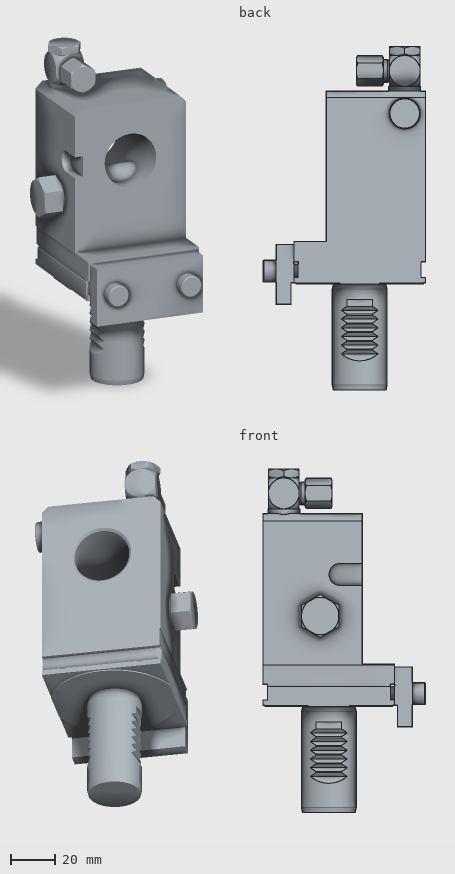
import cadquery as cq
import math


base_half_x = 30.0
back_y = 27.6
front_y = -27.5
depth_y = back_y - front_y
base_height = 18.9
block_right_x = 15.3
block_top_z = 87.0
front_chamfer = 3.3
back_chamfer = 3.0
front_relief = 0.55
front_relief_bottom_z = 8.6
front_relief_top_z = 18.4

groove_depth = 2.0
groove_bottom_z = 2.5
groove_top_z = 9.5

seat_radius = 29.0
seat_height = 0.5

shank_diameter = 25.0
shank_neck_diameter = 24.0
shank_neck_length = 0.6
shank_bottom_z = -48.7
shank_taper_length = 2.3
shank_shoulder_length = 1.7

tooth_crest_y = 11.0
tooth_root_y = 9.4
tooth_count = 6
tooth_root_span = 19.8
tooth_pitch = tooth_root_span / (tooth_count - 1)
tooth_flat_top_z = -7.5
first_root_z = -12.5

bar_right_x = 37.9
bar_half_width = 26.2
bar_top_z = 17.5
bar_bottom_z = -9.8
bar_step = 1.2
screw_spacing = 35.9
screw_z = 5.3
screw_head_diameter = 10.0
screw_head_length = 6.1
screw_shaft_diameter = 6.5
screw_head_chamfer = 0.5

bore_z = 59.5
bore_diameter = 25.5
bore_chamfer = 1.1
slot_width = 10.0
slot_depth = 4.0
slot_center_x = 5.1
pin_diameter = 21.8
pin_x = -3.9
pin_z = 40.5

bolt_neck_diameter = 15.0
bolt_neck_length = 0.5
bolt_washer_diameter = 16.5
bolt_washer_length = 0.8
bolt_across_flats = 17.0
bolt_head_length = 9.0
bolt_edge_chamfer = 0.8

fitting_x = -20.5
plug_diameter = 14.0
plug_z = 76.9
plug_length = 3.7
plug_chamfer = 0.3

elbow_y = -17.3
elbow_size = 14.0
elbow_sphere_ratio = math.sqrt(2)
elbow_collar_diameter = 14.5
elbow_collar_height = 2.2
elbow_nut_height = 4.0
elbow_nut_chamfer = 0.8
outlet_neck_diameter = 10.0
outlet_neck_groove_length = 0.8
outlet_collar_diameter = 10.5
outlet_neck_length = 2.7
outlet_nut_across_flats = 12.0
outlet_nut_length = 12.3
outlet_nut_chamfer = 0.6

overlap = 1.5


def box(x_range, y_range, z_range):
    """Box between the given limits."""
    corner = (x_range[0], y_range[0], z_range[0])
    size = [limits[1] - limits[0] for limits in (x_range, y_range, z_range)]
    return cq.Workplane("XY").box(*size, centered=False).translate(corner)


def rod(start, direction, diameter, length):
    """Round rod from a start point along a direction."""
    cylinder = cq.Solid.makeCylinder(diameter / 2, length, cq.Vector(*start), cq.Vector(*direction))
    return cq.Workplane(cylinder)


def chamfered_rod(start, direction, diameter, length, chamfer):
    """Round rod with its far rim chamfered."""
    far_face = cq.selectors.DirectionMinMaxSelector(cq.Vector(*direction))
    return rod(start, direction, diameter, length).faces(far_face).chamfer(chamfer)


def hexagon(start, direction, corner_direction, across_flats, length, chamfers):
    """Hexagonal prism whose corners are trimmed by a cone at each end down to the inscribed circle.

    One corner points along corner_direction; chamfers gives the cone heights at the start and far end.
    """
    corner_radius = across_flats / 2 / math.cos(math.pi / 6)
    flat_radius = across_flats / 2
    plane = cq.Plane(origin=start, xDir=corner_direction, normal=direction)
    prism = cq.Workplane(plane).polygon(6, 2 * corner_radius).extrude(length)
    near_chamfer, far_chamfer = chamfers
    outline = [(0, 0), (flat_radius if near_chamfer else corner_radius, 0)]
    if near_chamfer:
        outline.append((corner_radius, near_chamfer))
    outline += [(corner_radius, length - far_chamfer), (flat_radius, length), (0, length)]
    side_plane = cq.Plane(origin=start, xDir=corner_direction, normal=plane.yDir.multiply(-1))
    envelope = cq.Workplane(side_plane).polyline(outline).close().revolve(360, (0, 0), (0, 1))
    return prism.intersect(envelope)


def make_body():
    base = box((-base_half_x, base_half_x), (front_y, back_y), (0, base_height))
    block = (
        cq.Workplane("YZ", origin=(-base_half_x, 0, 0))
        .moveTo(front_y, 0)
        .lineTo(front_y, block_top_z - front_chamfer)
        .lineTo(front_y + front_chamfer, block_top_z)
        .lineTo(back_y - back_chamfer, block_top_z)
        .lineTo(back_y, block_top_z - back_chamfer)
        .lineTo(back_y, 0)
        .close()
        .extrude(base_half_x + block_right_x)
    )
    relief = box(
        (-base_half_x, base_half_x),
        (front_y, front_y + front_relief),
        (front_relief_bottom_z, front_relief_top_z),
    )
    body = base.union(block).cut(relief)
    for inner_x, outer_x in (
        (-base_half_x, -base_half_x + groove_depth),
        (base_half_x - groove_depth, base_half_x),
    ):
        body = body.cut(box((inner_x, outer_x), (front_y, back_y), (groove_bottom_z, groove_top_z)))
    seat = rod((0, 0, -seat_height), (0, 0, 1), 2 * seat_radius, seat_height)
    seat = seat.intersect(box((-base_half_x, base_half_x), (front_y, back_y), (-seat_height, 0)))
    return body.union(seat)


def cut_bore_and_slot(body):
    bore_start = (-base_half_x, 0, bore_z)
    bore = rod(bore_start, (1, 0, 0), bore_diameter, base_half_x + block_right_x)
    mouth_radius = bore_diameter / 2 + bore_chamfer
    mouth = cq.Solid.makeCone(
        mouth_radius, bore_diameter / 2, bore_chamfer, cq.Vector(*bore_start), cq.Vector(1, 0, 0)
    )
    slot_y = (front_y, front_y + slot_depth)
    slot = box(
        (slot_center_x, block_right_x),
        slot_y,
        (bore_z - slot_width / 2, bore_z + slot_width / 2),
    )
    slot_end = rod((slot_center_x, front_y, bore_z), (0, 1, 0), slot_width, slot_depth)
    return body.cut(bore).cut(mouth).cut(slot).cut(slot_end)


def make_shank():
    radius = shank_diameter / 2
    neck_radius = shank_neck_diameter / 2
    shoulder_z = -seat_height - shank_neck_length
    shank = (
        cq.Workplane("XZ")
        .moveTo(0, overlap)
        .lineTo(neck_radius, overlap)
        .lineTo(neck_radius, shoulder_z)
        .lineTo(radius, shoulder_z - shank_shoulder_length)
        .lineTo(radius, shank_bottom_z + shank_taper_length)
        .lineTo(neck_radius, shank_bottom_z)
        .lineTo(0, shank_bottom_z)
        .close()
        .revolve(360, (0, 0), (0, 1))
    )
    tooth_depth = tooth_crest_y - tooth_root_y
    profile = [(radius, tooth_flat_top_z), (tooth_crest_y, tooth_flat_top_z)]
    for index in range(tooth_count):
        root_z = first_root_z - index * tooth_pitch
        profile.append((tooth_crest_y, root_z + tooth_depth))
        profile.append((tooth_root_y, root_z))
        if index < tooth_count - 1:
            profile.append((tooth_crest_y, root_z - tooth_depth))
    profile.append((radius, root_z - (radius - tooth_root_y)))
    teeth_cut = cq.Workplane("YZ").polyline(profile).close().extrude(radius, both=True)
    return shank.cut(teeth_cut).cut(teeth_cut.mirror("XZ"))


def make_clamp_bar():
    bar_y = (-bar_half_width, bar_half_width)
    bar = box((base_half_x, bar_right_x), bar_y, (0, bar_top_z))
    bar = bar.union(box((base_half_x + bar_step, bar_right_x), bar_y, (bar_bottom_z, 0)))
    for screw_y in (-screw_spacing / 2, screw_spacing / 2):
        head = chamfered_rod(
            (bar_right_x, screw_y, screw_z),
            (1, 0, 0),
            screw_head_diameter,
            screw_head_length,
            screw_head_chamfer,
        )
        shaft_x = base_half_x - groove_depth - overlap
        shaft = rod((shaft_x, screw_y, screw_z), (1, 0, 0), screw_shaft_diameter, bar_right_x - shaft_x)
        bar = bar.union(head).union(shaft)
    return bar


def cut_left_screw_notches(body):
    """Notches where the screw hole diameter runs through the lip below the left groove."""
    for screw_y in (-screw_spacing / 2, screw_spacing / 2):
        start = (-base_half_x, screw_y, screw_z)
        body = body.cut(rod(start, (1, 0, 0), screw_shaft_diameter, groove_depth))
    return body


def make_pin_and_bolt():
    front = (0, -1, 0)
    pin = rod((pin_x, front_y, pin_z), (0, 1, 0), pin_diameter, depth_y - overlap)
    neck = rod((pin_x, front_y, pin_z), front, bolt_neck_diameter, bolt_neck_length)
    washer_y = front_y - bolt_neck_length
    washer = rod((pin_x, washer_y, pin_z), front, bolt_washer_diameter, bolt_washer_length)
    head_y = washer_y - bolt_washer_length
    head = hexagon(
        (pin_x, head_y, pin_z),
        front,
        (0, 0, 1),
        bolt_across_flats,
        bolt_head_length,
        (0, bolt_edge_chamfer),
    )
    return pin.union(neck).union(washer).union(head)


def make_plug():
    start = (fitting_x, back_y - overlap, plug_z)
    return chamfered_rod(start, (0, 1, 0), plug_diameter, plug_length + overlap, plug_chamfer)


def make_elbow():
    up = (0, 0, 1)
    right = (1, 0, 0)
    half_size = elbow_size / 2
    collar_top_z = block_top_z + elbow_collar_height
    center_z = collar_top_z + half_size
    collar = rod(
        (fitting_x, elbow_y, block_top_z - overlap),
        up,
        elbow_collar_diameter,
        elbow_collar_height + overlap,
    )
    center = (fitting_x, elbow_y, center_z)
    cube = cq.Workplane("XY").box(elbow_size, elbow_size, elbow_size)
    elbow = cube.intersect(cq.Workplane("XY").sphere(half_size * elbow_sphere_ratio)).translate(center)
    nut = hexagon(
        (fitting_x, elbow_y, collar_top_z + elbow_size),
        up,
        (0, 1, 0),
        elbow_size,
        elbow_nut_height,
        (elbow_nut_chamfer, elbow_nut_chamfer),
    )
    neck = rod(center, right, outlet_neck_diameter, half_size + outlet_neck_length)
    outlet_collar = rod(
        (fitting_x + half_size + outlet_neck_groove_length, elbow_y, center_z),
        right,
        outlet_collar_diameter,
        outlet_neck_length - outlet_neck_groove_length,
    )
    outlet_nut = hexagon(
        (fitting_x + half_size + outlet_neck_length, elbow_y, center_z),
        right,
        up,
        outlet_nut_across_flats,
        outlet_nut_length,
        (outlet_nut_chamfer, outlet_nut_chamfer),
    )
    return collar.union(elbow).union(nut).union(neck).union(outlet_collar).union(outlet_nut)


result = cut_left_screw_notches(cut_bore_and_slot(make_body()))
for part in (make_shank(), make_clamp_bar(), make_pin_and_bolt(), make_plug(), make_elbow()):
    result = result.union(part)